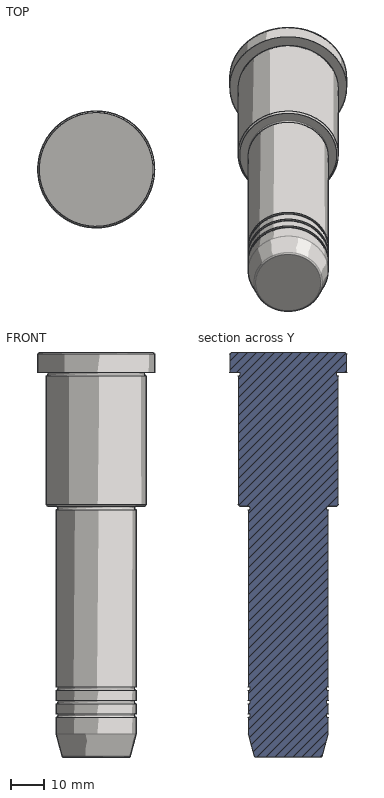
import cadquery as cq
import math

total_length = 121.0
head_height = 6.0
body_length = 40.0

head_radius = 35.0 / 2
body_radius = 30.0 / 2
shank_radius = 24.0 / 2

edge_chamfer = 0.5
tip_fillet = 0.5

groove_width = 1.0
groove_depth = groove_width / 2
groove_count = 3
groove_pitch = 4.0
lowest_groove_bottom = 12.0

lead_in_height = 7.0
lead_in_angle = 15.0

head_bottom = total_length - head_height
body_bottom = head_bottom - body_length
tip_radius = shank_radius - lead_in_height * math.tan(math.radians(lead_in_angle))

arc_offset = groove_depth * math.sin(math.radians(45))


def revolved(profile):
    """Revolve a closed (radius, height) profile about the Z axis."""
    return profile.close().revolve(360, (0, 0), (0, 1))


def rounded_floor_groove(radius, top):
    """Ring with a flat top, a short straight wall and a quarter-round lower flank."""
    floor_radius = radius - groove_depth
    arc_center = top - groove_depth
    return revolved(
        cq.Workplane("XZ")
        .moveTo(radius, top)
        .lineTo(floor_radius, top)
        .lineTo(floor_radius, arc_center)
        .threePointArc((radius - arc_offset, arc_center - arc_offset), (radius, top - groove_width))
    )


def half_round_groove(radius, top):
    """Ring with a semicircular section."""
    return revolved(
        cq.Workplane("XZ")
        .moveTo(radius, top)
        .threePointArc((radius - groove_depth, top - groove_depth), (radius, top - groove_width))
    )


def cylinder(radius, bottom, top):
    return cq.Workplane("XY").workplane(offset=bottom).circle(radius).extrude(top - bottom)


def make_head():
    return cylinder(head_radius, head_bottom, total_length).edges(">Z").chamfer(edge_chamfer)


def make_body():
    body = cylinder(body_radius, body_bottom, head_bottom).edges("<Z").chamfer(edge_chamfer)
    return body.cut(rounded_floor_groove(body_radius, head_bottom))


def make_shank():
    shank = revolved(
        cq.Workplane("XZ")
        .polyline([
            (0, 0),
            (tip_radius, 0),
            (shank_radius, lead_in_height),
            (shank_radius, body_bottom),
            (0, body_bottom),
        ])
    )
    shank = shank.edges("<Z").fillet(tip_fillet)
    shank = shank.cut(half_round_groove(shank_radius, body_bottom))
    for index in range(groove_count):
        groove_top = lowest_groove_bottom + groove_width + index * groove_pitch
        shank = shank.cut(rounded_floor_groove(shank_radius, groove_top))
    return shank


result = make_head().union(make_body()).union(make_shank())